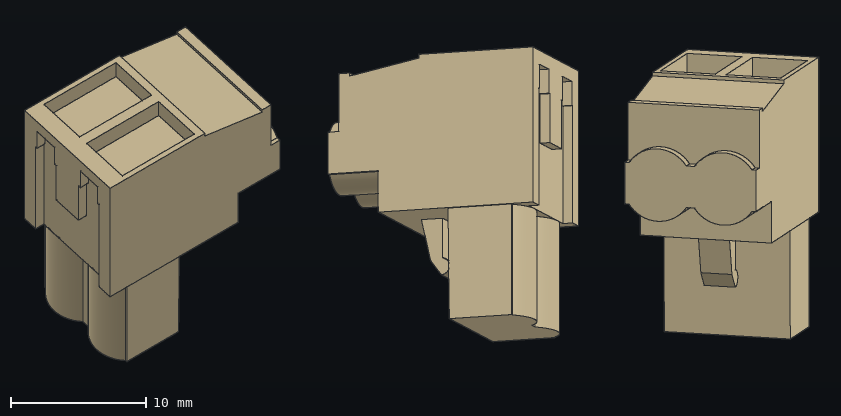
import cadquery as cq


POLE_PITCH = 5.07
POLE_XS = (-POLE_PITCH / 2, POLE_PITCH / 2)
TOTAL_HEIGHT = 20.05

HOUSING_WIDTH = 10.17
HOUSING_DEPTH = 16.1
HOUSING_HEIGHT = 11.7
TOP_FLAT_DEPTH = 8.98
TOP_STEP = 0.28
SLOPE_END_Y = 14.42
SLOPE_END_Z = HOUSING_HEIGHT - 1.3
LIP_Z = HOUSING_HEIGHT - 1.06
LIP_BACK_Y = 15.25
WIRE_BLOCK_TOP_Z = 6.28
WIRE_BLOCK_BOTTOM_Z = 3.13
FOOT_BACK_Y = 12.15

COLLAR_WIDTH = 4.45
COLLAR_RISE = 1.16

POCKET_WIDTH = 4.23
POCKET_FRONT_Y = 1.5
POCKET_LENGTH = 6.82
POCKET_DEPTH = 1.5

RECESS_DEPTH = 0.76
RECESS_HALF_WIDTH = 3.75
TONGUE_HALF_WIDTH = 1.32
TONGUE_BOTTOM_Z = HOUSING_HEIGHT - 6.55
PRONG_STEP_Z = HOUSING_HEIGHT - 2.87
PRONG_TOP_Z = HOUSING_HEIGHT - 1.06
PRONG_TIP_OUTER_X = 3.59
PRONG_TIP_INNER_X = 1.55

PLUG_WIDTH = 9.76
PLUG_HEIGHT = TOTAL_HEIGHT - HOUSING_HEIGHT
PLUG_FRONT_Y = 1.75
PLUG_BACK_TOP_Y = 6.74
PLUG_BACK_BOTTOM_Y = 6.65
RIB_CHORD = 4.4
RIB_CROWN_Y = RECESS_DEPTH

LATCH_WIDTH = 2.4
LATCH_FRONT_Y = 8.46
LATCH_ROOT_BACK_Y = 10.13
LATCH_BEND_Y = 9.42
LATCH_BEND_Z = -3.13
HOOK_START_Z = -2.97
HOOK_NOSE_Y = 7.92
HOOK_NOSE_Z = -3.6
HOOK_END_Y = 8.58
HOOK_END_Z = -4.25


def housing_block():
    side_profile = [
        (0, 0),
        (0, HOUSING_HEIGHT),
        (TOP_FLAT_DEPTH, HOUSING_HEIGHT),
        (TOP_FLAT_DEPTH, HOUSING_HEIGHT - TOP_STEP),
        (SLOPE_END_Y, SLOPE_END_Z),
        (SLOPE_END_Y, LIP_Z),
        (LIP_BACK_Y, LIP_Z),
        (LIP_BACK_Y, WIRE_BLOCK_TOP_Z),
        (HOUSING_DEPTH, WIRE_BLOCK_TOP_Z),
        (HOUSING_DEPTH, WIRE_BLOCK_BOTTOM_Z),
        (FOOT_BACK_Y, WIRE_BLOCK_BOTTOM_Z),
        (FOOT_BACK_Y, 0),
    ]
    return cq.Workplane("YZ").polyline(side_profile).close().extrude(HOUSING_WIDTH / 2, both=True)


def wire_collar(center_x):
    left_x = center_x - COLLAR_WIDTH / 2
    right_x = center_x + COLLAR_WIDTH / 2
    return (
        cq.Workplane("XZ", origin=(0, HOUSING_DEPTH, 0))
        .moveTo(left_x, WIRE_BLOCK_BOTTOM_Z)
        .lineTo(left_x, WIRE_BLOCK_TOP_Z)
        .threePointArc((center_x, WIRE_BLOCK_TOP_Z + COLLAR_RISE), (right_x, WIRE_BLOCK_TOP_Z))
        .lineTo(right_x, WIRE_BLOCK_BOTTOM_Z)
        .threePointArc((center_x, WIRE_BLOCK_BOTTOM_Z - COLLAR_RISE), (left_x, WIRE_BLOCK_BOTTOM_Z))
        .close()
        .extrude(HOUSING_DEPTH - FOOT_BACK_Y)
    )


def screw_pockets():
    pocket_y = POCKET_FRONT_Y + POCKET_LENGTH / 2
    return (
        cq.Workplane("XY", origin=(0, pocket_y, HOUSING_HEIGHT))
        .rarray(POLE_PITCH, 0.2, 2, 1)
        .rect(POCKET_WIDTH, POCKET_LENGTH)
        .extrude(-POCKET_DEPTH)
    )


def front_recess():
    right_half = [
        (RECESS_HALF_WIDTH, 0),
        (RECESS_HALF_WIDTH, PRONG_STEP_Z),
        (PRONG_TIP_OUTER_X, PRONG_STEP_Z),
        (PRONG_TIP_OUTER_X, PRONG_TOP_Z),
        (PRONG_TIP_INNER_X, PRONG_TOP_Z),
        (PRONG_TIP_INNER_X, PRONG_STEP_Z),
        (TONGUE_HALF_WIDTH, PRONG_STEP_Z),
        (TONGUE_HALF_WIDTH, TONGUE_BOTTOM_Z),
    ]
    left_half = [(-x, z) for x, z in reversed(right_half)]
    return cq.Workplane("XZ").polyline(right_half + left_half).close().extrude(-RECESS_DEPTH)


def make_housing():
    body = housing_block()
    for pole_x in POLE_XS:
        body = body.union(wire_collar(pole_x))
    return body.cut(screw_pockets()).cut(front_recess())


def make_plug():
    half_width = PLUG_WIDTH / 2
    outline = cq.Workplane("XY").moveTo(-half_width, PLUG_BACK_TOP_Y).lineTo(-half_width, PLUG_FRONT_Y)
    for rib_x in POLE_XS:
        outline = outline.lineTo(rib_x - RIB_CHORD / 2, PLUG_FRONT_Y).threePointArc(
            (rib_x, RIB_CROWN_Y), (rib_x + RIB_CHORD / 2, PLUG_FRONT_Y)
        )
    outline = outline.lineTo(half_width, PLUG_FRONT_Y).lineTo(half_width, PLUG_BACK_TOP_Y).close()
    back_wedge = (
        cq.Workplane("YZ")
        .moveTo(PLUG_BACK_TOP_Y, 0)
        .lineTo(PLUG_BACK_BOTTOM_Y, -PLUG_HEIGHT)
        .lineTo(PLUG_BACK_TOP_Y, -PLUG_HEIGHT)
        .close()
        .extrude(half_width, both=True)
    )
    return outline.extrude(-PLUG_HEIGHT).cut(back_wedge)


def make_latch():
    return (
        cq.Workplane("YZ")
        .moveTo(LATCH_FRONT_Y, 0)
        .lineTo(LATCH_ROOT_BACK_Y, 0)
        .lineTo(LATCH_BEND_Y, LATCH_BEND_Z)
        .lineTo(HOOK_END_Y, HOOK_END_Z)
        .threePointArc((HOOK_NOSE_Y, HOOK_NOSE_Z), (LATCH_FRONT_Y, HOOK_START_Z))
        .close()
        .extrude(LATCH_WIDTH / 2, both=True)
    )


housing = make_housing()
plug = make_plug()
latch = make_latch()

result = cq.Compound.makeCompound([housing.val(), plug.val(), latch.val()])